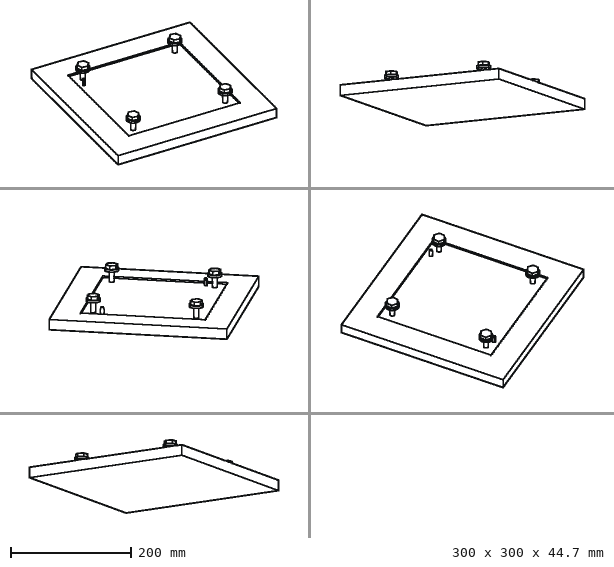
import cadquery as cq
import math

plate_side = 300.0
plate_thickness = 18.0
pocket_side = 210.5
pocket_depth = 3.0
pocket_floor = plate_thickness - pocket_depth

overall_height = 44.7
bolt_spacing = 174.0
shank_diameter = 8.0
flange_diameter = 23.0
flange_thickness = 4.0
hex_across_flats = 17.5
hex_height = 6.3
hex_turn = 22.0
hex_sides = 6

pin_x = 70.5
pin_y = 94.0
pin_diameter = 6.0
pin_height = 12.0
pin_tip_height = 4.0
pin_tip_inset = 1.2
diamond_width = 4.8
diamond_length = 7.8


def make_plate():
    plate = cq.Workplane("XY").box(plate_side, plate_side, plate_thickness, centered=(True, True, False))
    pocket = (
        cq.Workplane("XY", origin=(0, 0, pocket_floor))
        .rect(pocket_side, pocket_side)
        .extrude(pocket_depth)
    )
    return plate.cut(pocket)


def make_bolt():
    """Bolt on the Z axis, from the pocket floor up to the overall height."""
    hex_bottom = overall_height - hex_height
    flange_bottom = hex_bottom - flange_thickness
    hex_across_corners = hex_across_flats / math.cos(math.pi / hex_sides)
    shank = (
        cq.Workplane("XY", origin=(0, 0, pocket_floor))
        .circle(shank_diameter / 2)
        .extrude(flange_bottom - pocket_floor)
    )
    flange = (
        cq.Workplane("XY", origin=(0, 0, flange_bottom))
        .circle(flange_diameter / 2)
        .extrude(flange_thickness)
    )
    head = (
        cq.Workplane("XY", origin=(0, 0, hex_bottom))
        .polygon(hex_sides, hex_across_corners)
        .extrude(hex_height)
        .rotate((0, 0, 0), (0, 0, 1), hex_turn)
    )
    return shank.union(flange).union(head)


def make_round_pin():
    """Pin on the Z axis with a tapered tip, standing on the pocket floor."""
    return (
        cq.Workplane("XY", origin=(0, 0, pocket_floor))
        .circle(pin_diameter / 2)
        .extrude(pin_height)
        .faces(">Z")
        .chamfer(pin_tip_height, pin_tip_inset)
    )


def make_diamond_pin():
    """Round pin relieved to a rhombus whose long axis is square to the line joining the pins."""
    half_width = diamond_width / 2
    half_length = diamond_length / 2
    rhombus = (
        cq.Workplane("XY", origin=(0, 0, pocket_floor))
        .polyline([(half_width, 0), (0, half_length), (-half_width, 0), (0, -half_length)])
        .close()
        .extrude(pin_height)
    )
    pin_line_angle = math.degrees(math.atan2(pin_y, pin_x))
    return make_round_pin().intersect(rhombus).rotate((0, 0, 0), (0, 0, 1), pin_line_angle)


result = make_plate()
for x_side in (-1, 1):
    for y_side in (-1, 1):
        bolt_position = (x_side * bolt_spacing / 2, y_side * bolt_spacing / 2, 0)
        result = result.union(make_bolt().translate(bolt_position))
result = result.union(make_round_pin().translate((pin_x, pin_y, 0)))
result = result.union(make_diamond_pin().translate((-pin_x, -pin_y, 0)))